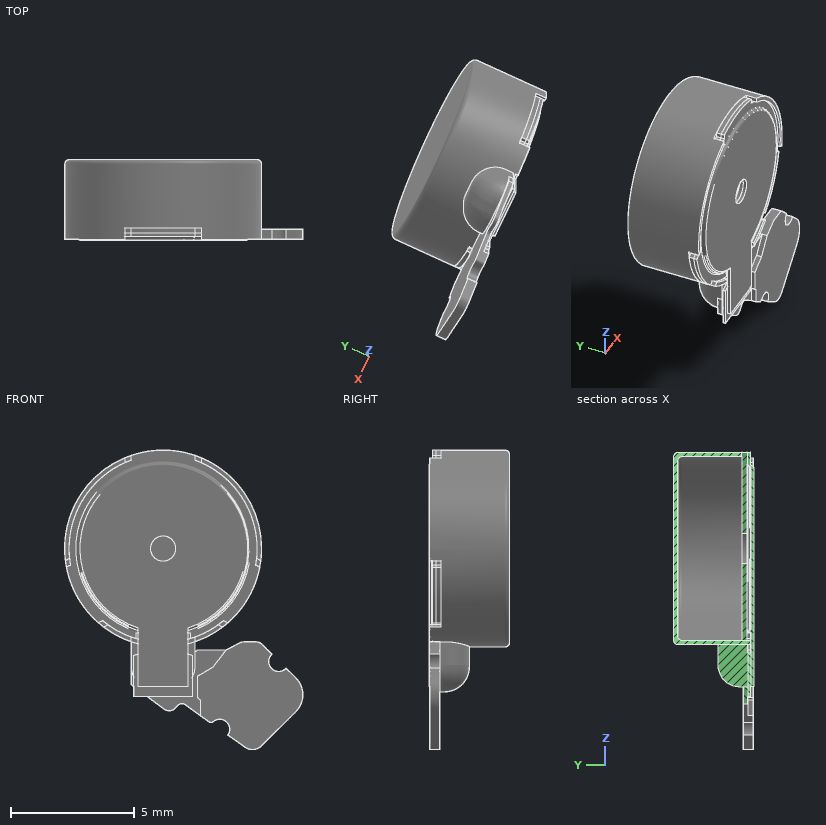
import cadquery as cq


sheet = 0.15

can_radius = 4.0
can_wall = 0.18
can_bore = can_radius - can_wall
can_front = 0.04
can_back = 3.29
can_corner = 0.2
can_inner_corner = 0.18

tab_count = 3
tab_spacing = 360.0 / tab_count
first_tab_angle = 90.0
tab_half_width = 1.3
notch_half_width = 1.56

cover_rim_front = sheet
cover_rim_back = cover_rim_front + sheet
boss_top_radius = 3.42
boss_foot_radius = 3.5
boss_bend = 0.07
shaft_hole_radius = 0.51
tongue_half_width = 1.01
tongue_end = -5.61
tongue_root = -2.43
relief_half_width = 1.11
relief_start = -3.42

tongue_slot_half_width = 1.3

ring_back = 0.5
ring_hole_radius = 1.03

pad_half_width = 1.19
pad_end = -6.01
pad_shoulder = -4.35
pad_top = -4.11
pad_back = 0.25

glue_half_width = 1.3
glue_back = 1.65
glue_end = -5.83
glue_corner = 1.1
glue_crown = 1.03

board_back = 0.45
strip_top_left = (-glue_half_width, glue_end + glue_corner)
strip_top_bend = (0.62, glue_end + glue_corner)
strip_shoulder = (1.4, -4.11)
strip_valley = (0.74, -6.23)
strip_bump = (0.28, -6.7)
strip_bottom_left = (-glue_half_width, -5.53)
valley_rounding = 0.23
bump_rounding = 0.34

contact_front = can_front
seam_top = (2.57, -4.11)
seam_bottom = (1.51, -6.79)
seam_steps = [(1.51, -6.16), (1.4, -6.05), (1.4, -5.18), (2.02, -4.82)]
contact_top_left = (3.19, -3.78)
contact_top_right = (3.92, -3.78)
contact_right = (6.08, -5.94)
contact_bottom = (3.69, -8.32)
top_rounding = 0.37
right_rounding = 0.96
bottom_rounding = 0.51
bite_centres = [(2.3, -7.34), (4.7, -4.59)]
bite_radius = 0.4
bite_lip = (1.97, -7.11)
lip_rounding = 0.12


def plane_at(depth):
    """A sketch plane that faces -Y, with local x along X and local y along Z."""
    return cq.Workplane("XZ", origin=(0, depth, 0))


def disc(radius, front, back):
    return plane_at(front).circle(radius).extrude(front - back)


def block(half_width, z_min, z_max, front, back):
    """A box centred on X = 0."""
    middle = (z_min + z_max) / 2
    return plane_at(front).center(0, middle).rect(2 * half_width, z_max - z_min).extrude(front - back)


def plate(points, front, back):
    return plane_at(front).polyline(points).close().extrude(front - back)


def round_corner(body, corner, radius):
    """Round the edge along Y that stands at the given outline point."""
    nearest = cq.selectors.NearestToPointSelector((corner[0], board_back, corner[1]))
    return body.edges("|Y").edges(nearest).fillet(radius)


def wall_segments(half_width, front, back):
    """The pieces of the can wall that lie within parallel-sided strips at the tab positions."""
    wall = disc(can_radius, front, back).cut(disc(can_bore, front, back))
    arm = block(half_width, 0, can_radius, front, back)
    arms = arm.rotate((0, 0, 0), (0, 1, 0), 90 - first_tab_angle)
    for i in range(1, tab_count):
        arms = arms.union(arm.rotate((0, 0, 0), (0, 1, 0), 90 - first_tab_angle - i * tab_spacing))
    return wall.intersect(arms)


def make_can():
    can = disc(can_radius, can_front, can_back).faces(">Y").edges().fillet(can_corner)
    cavity = disc(can_bore, can_front, can_back - can_wall).faces(">Y").edges().fillet(can_inner_corner)
    notches = wall_segments(notch_half_width, can_front, ring_back)
    tongue_slot = block(tongue_slot_half_width, -can_radius, 0, can_front, cover_rim_front)
    return can.cut(cavity).cut(notches).cut(tongue_slot)


def make_cover():
    cover = (
        cq.Workplane("XY")
        .lineTo(boss_top_radius, 0)
        .lineTo(boss_foot_radius, cover_rim_front)
        .lineTo(can_bore, cover_rim_front)
        .lineTo(can_bore, cover_rim_back)
        .lineTo(boss_foot_radius, cover_rim_back)
        .lineTo(boss_top_radius, sheet)
        .lineTo(0, sheet)
        .close()
        .revolve(360, (0, 0, 0), (0, 1, 0))
    )
    bends = [edge for edge in cover.edges("%CIRCLE").vals() if edge.radius() < can_bore - boss_bend]
    cover = cover.newObject(bends).fillet(boss_bend)

    cover = cover.union(wall_segments(tab_half_width, cover_rim_front, cover_rim_back))
    relief = block(relief_half_width, -can_radius, relief_start, 0, cover_rim_back)
    tongue = block(tongue_half_width, tongue_end, tongue_root, 0, sheet)
    shaft_hole = disc(shaft_hole_radius, 0, sheet)
    return cover.cut(relief).union(tongue).cut(shaft_hole)


def make_ring():
    ring = disc(can_bore, cover_rim_back, ring_back)
    ring = ring.union(wall_segments(tab_half_width, cover_rim_back, ring_back))
    return ring.cut(disc(ring_hole_radius, cover_rim_back, ring_back))


def make_pad():
    return (
        plane_at(sheet)
        .moveTo(-pad_half_width, pad_end)
        .lineTo(-pad_half_width, pad_shoulder)
        .threePointArc((0, pad_top), (pad_half_width, pad_shoulder))
        .lineTo(pad_half_width, pad_end)
        .close()
        .extrude(sheet - pad_back)
    )


def make_glue():
    """A rounded drop that hangs on the outside of the can."""
    glue = block(glue_half_width, glue_end, 0, pad_back, glue_back)
    glue = glue.edges("|Y and <Z").fillet(glue_corner)
    glue = glue.faces(">Y").edges("not >Z").fillet(glue_crown)
    return glue.cut(disc(can_radius, pad_back, glue_back))


def make_strip():
    outline = [
        strip_top_left,
        strip_top_bend,
        strip_shoulder,
        seam_top,
        seam_bottom,
        strip_valley,
        strip_bump,
        strip_bottom_left,
    ]
    strip = plate(outline, pad_back, board_back)
    strip = round_corner(strip, strip_bump, bump_rounding)
    return round_corner(strip, strip_valley, valley_rounding)


def make_contact_plate():
    outline = [
        seam_top,
        contact_top_left,
        contact_top_right,
        contact_right,
        contact_bottom,
        seam_bottom,
        *seam_steps,
    ]
    contact = plate(outline, contact_front, board_back)
    contact = round_corner(contact, contact_top_left, top_rounding)
    contact = round_corner(contact, contact_top_right, top_rounding)
    contact = round_corner(contact, contact_right, right_rounding)
    contact = round_corner(contact, contact_bottom, bottom_rounding)
    bites = plane_at(contact_front).pushPoints(bite_centres).circle(bite_radius)
    contact = contact.cut(bites.extrude(contact_front - board_back))
    return round_corner(contact, bite_lip, lip_rounding)


def make_board(glue):
    """Strip and contact plate in one piece, with the glue drop reaching through the strip."""
    return make_strip().union(make_contact_plate()).cut(glue)


can = make_can()
cover = make_cover()
ring = make_ring()
pad = make_pad()
glue = make_glue()
board = make_board(glue)

bodies = [can, cover, ring, pad, glue, board]
result = cq.Compound.makeCompound([body.solids().val() for body in bodies])